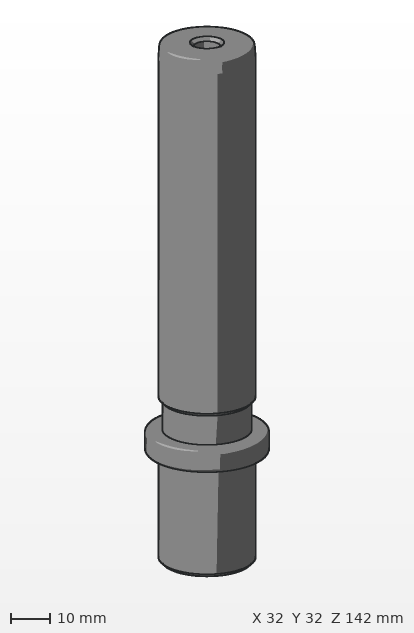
import cadquery as cq
import math

total_length = 142.0
flange_bottom = 30.0
flange_height = 6.1
neck_length = 8.0
tip_length = 4.0

shank_diameter = 25.0
neck_diameter = 23.0
flange_diameter = 32.0
tip_diameter = 24.4

edge_chamfer = 1.0
flange_fillet = 1.0
shank_fillet = 1.1
tip_fillet = 1.0

hole_diameter = 6.8
hole_mouth_diameter = 8.8
hole_depth = 19.9

shank_radius = shank_diameter / 2
neck_radius = neck_diameter / 2
flange_radius = flange_diameter / 2
tip_radius = tip_diameter / 2
flange_top = flange_bottom + flange_height
neck_top = flange_top + neck_length


def make_body():
    """Revolve the half profile (radius, height) about the Z axis."""
    arc_inset = 1 - math.sqrt(0.5)
    shank_inset = arc_inset * shank_fillet
    flange_inset = arc_inset * flange_fillet
    profile = (
        cq.Workplane("XZ")
        .lineTo(shank_radius - edge_chamfer, 0)
        .lineTo(shank_radius, edge_chamfer)
        .lineTo(shank_radius, flange_bottom - shank_fillet)
        .threePointArc(
            (shank_radius - shank_inset, flange_bottom - shank_inset),
            (shank_radius - shank_fillet, flange_bottom),
        )
        .lineTo(flange_radius - flange_fillet, flange_bottom)
        .threePointArc(
            (flange_radius - flange_inset, flange_bottom + flange_inset),
            (flange_radius, flange_bottom + flange_fillet),
        )
        .lineTo(flange_radius, flange_top - flange_fillet)
        .threePointArc(
            (flange_radius - flange_inset, flange_top - flange_inset),
            (flange_radius - flange_fillet, flange_top),
        )
        .lineTo(neck_radius, flange_top)
        .lineTo(neck_radius, neck_top)
        .lineTo(shank_radius, neck_top + edge_chamfer)
        .lineTo(shank_radius, total_length - tip_length)
        .lineTo(tip_radius, total_length)
        .lineTo(0, total_length)
        .close()
    )
    body = profile.revolve(360, (0, 0), (0, 1))
    return body.faces(">Z").edges().fillet(tip_fillet)


def make_hole():
    """Countersunk blind hole, as the solid to be removed from the top face."""
    hole_radius = hole_diameter / 2
    mouth_radius = hole_mouth_diameter / 2
    countersink_depth = mouth_radius - hole_radius
    profile = [
        (0, total_length - hole_depth),
        (hole_radius, total_length - hole_depth),
        (hole_radius, total_length - countersink_depth),
        (mouth_radius, total_length),
        (0, total_length),
    ]
    return cq.Workplane("XZ").polyline(profile).close().revolve(360, (0, 0), (0, 1))


result = make_body().cut(make_hole())